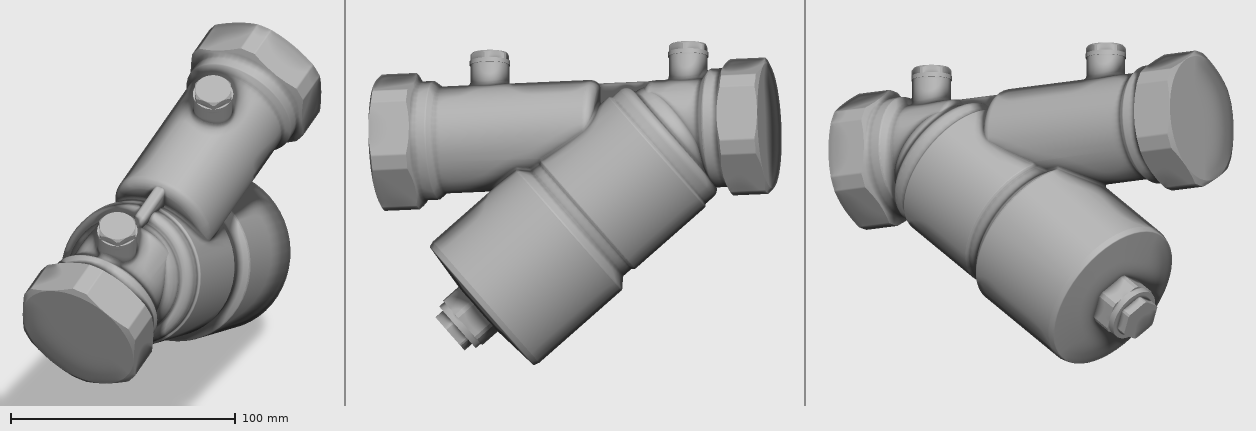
import cadquery as cq
import math


port_face_y = 88.5
nut_flats = 56.3
nut_corners = 61.0
nut_edge_round = 1.8
nut_face_radius = 28.0
nut_bevel = 2.1
nut_shoulder = 16.1
nut_length = 19.5
collar_radius = 26.5
collar_end = 25.5
collar_taper_end = 28.9
collar_foot_round = 2.1
collar_edge_round = 1.0
far_tube_radius = 23.9
far_tube_length = 100.7
near_tube_radius = 22.5
near_tube_length = 55.0
far_tube_round = 4.5
near_tube_round = 3.9

branch_tilt = 40.0
branch_origin_y = -49.0
neck_radius = 26.5
groove_radius = 31.7
barrel_radius = 32.7
cup_diameter = 72.0
cup_radius = cup_diameter / 2
cup_rim_radius = 35.2
neck_start = -4.0
neck_round = 8.8
neck_end = 5.1
shoulder_end = 14.2
barrel_start = 15.2
barrel_end = 57.0
groove_start = 58.4
groove_end = 63.2
cup_start = 67.6
cup_taper_start = 116.8
cup_end = 119.5
cap_height = 2.1
neck_foot_round = 1.0
shoulder_round = 4.5
step_round = 0.7
cup_round = 1.5
rim_round = 0.5

drain_nut_flats = 24.2
drain_nut_corners = 26.7
drain_nut_length = 9.2
drain_flange_radius = 12.4
drain_flange_height = 3.0
drain_head_flats = 17.9
drain_head_corners = 20.0
drain_head_height = 4.5

plug_ys = (38.8, -51.5)
plug_boss_radius = 8.7
plug_flange_radius = 9.0
plug_flange_bottom = 33.1
plug_flange_top = 35.0
plug_top = 38.5
plug_head_flats = 16.1
plug_head_corners = 17.9
plug_head_face_radius = 8.0
plug_head_bevel = 1.2

rib_thickness = 5.7
rib_top_round = 2.0
rib_overlap = 1.8

branch_blend = 0.9
boss_blend = 1.6
zone_margin = 0.5


def turned(profile):
    """Solid of revolution about local Z from (height, radius, corner rounding) points."""
    sketch = cq.Workplane("XZ").moveTo(profile[0][1], profile[0][0])
    for before, corner, after in zip(profile, profile[1:], profile[2:]):
        height, radius, rounding = corner
        if rounding == 0:
            sketch = sketch.lineTo(radius, height)
            continue
        here = cq.Vector(radius, height)
        back = (cq.Vector(before[1], before[0]) - here).normalized()
        ahead = (cq.Vector(after[1], after[0]) - here).normalized()
        half_angle = back.getAngle(ahead) / 2
        tangent_length = rounding / math.tan(half_angle)
        depth = rounding / math.sin(half_angle) - rounding
        start = here + back * tangent_length
        middle = here + (back + ahead).normalized() * depth
        end = here + ahead * tangent_length
        sketch = sketch.lineTo(start.x, start.y)
        sketch = sketch.threePointArc((middle.x, middle.y), (end.x, end.y))
    sketch = sketch.lineTo(profile[-1][1], profile[-1][0]).close()
    return sketch.revolve(360, (0, 0, 0), (0, 1, 0))


def hex_prism(flats, corners, height):
    """Hexagonal prism with flats facing local +-Y and its corners cut flat."""
    sharp = cq.Workplane("XY").polygon(6, flats, circumscribed=True).extrude(height)
    cutter = cq.Workplane("XY").polygon(6, corners, circumscribed=True).extrude(height)
    return sharp.rotate((0, 0, 0), (0, 0, 1), 30).intersect(cutter)


def disc(radius, bottom, top):
    """Upright cylinder between two heights."""
    return cq.Workplane("XY").workplane(offset=bottom).circle(radius).extrude(top - bottom)


def placed(body, plane):
    """Move a body from the global frame into the frame of a plane."""
    return body.newObject([body.val().moved(cq.Location(plane))])


def port(side, tube_radius, tube_length, end_round):
    """Nut, collar and tube, measured inward from the end face on the given Y side."""
    nut_corner_radius = nut_flats / math.sqrt(3)
    round_body = turned([
        (0, 0, 0),
        (0, nut_face_radius, 0),
        (nut_bevel, nut_corner_radius, 0),
        (nut_shoulder, nut_corner_radius, 0),
        (nut_length, collar_radius, collar_foot_round),
        (collar_end, collar_radius, collar_edge_round),
        (collar_taper_end, tube_radius, collar_foot_round),
        (tube_length, tube_radius, end_round),
        (tube_length, 0, 0),
    ])
    hexagon = hex_prism(nut_flats, nut_corners, tube_length).edges("|Z").fillet(nut_edge_round)
    plane = cq.Plane(origin=(0, side * port_face_y, 0), xDir=(0, 0, 1), normal=(0, -side, 0))
    return placed(round_body.intersect(hexagon), plane)


def branch():
    """Turned housing with the hexagonal drain plug on its lower end."""
    housing = turned([
        (neck_start, 0, 0),
        (neck_start, neck_radius, neck_round),
        (neck_end, neck_radius, neck_foot_round),
        (neck_end, groove_radius, shoulder_round),
        (shoulder_end, groove_radius, step_round),
        (barrel_start, barrel_radius, step_round),
        (barrel_end, barrel_radius, step_round),
        (groove_start, groove_radius, step_round),
        (groove_end, groove_radius, cup_round),
        (cup_start, cup_radius, cup_round),
        (cup_taper_start, cup_radius, 0),
        (cup_end, cup_rim_radius, rim_round),
        (cup_end + cap_height, drain_flange_radius, 0),
        (cup_end + cap_height, 0, 0),
    ])
    nut_height = cap_height + drain_nut_length
    flange_bottom = cup_end + nut_height
    flange_top = flange_bottom + drain_flange_height
    nut = hex_prism(drain_nut_flats, drain_nut_corners, nut_height).translate((0, 0, cup_end))
    flange = disc(drain_flange_radius, flange_bottom, flange_top)
    head = hex_prism(drain_head_flats, drain_head_corners, drain_head_height)
    head = head.translate((0, 0, flange_top))
    tilt = math.radians(branch_tilt)
    plane = cq.Plane(
        origin=(0, branch_origin_y, 0),
        xDir=(1, 0, 0),
        normal=(0, math.cos(tilt), -math.sin(tilt)),
    )
    return placed(housing.union(nut).union(flange).union(head), plane)


def with_plug_boss(body, y):
    """Add a round boss on top of the run and blend its foot."""
    body = body.union(disc(plug_boss_radius, 0, plug_flange_top).translate((0, y, 0)))
    reach = plug_boss_radius + zone_margin
    foot_zone = cq.selectors.BoxSelector(
        (-reach, y - reach, near_tube_radius - plug_boss_radius),
        (reach, y + reach, plug_flange_bottom),
    )
    return body.edges(foot_zone).edges("%BSPLINE").fillet(boss_blend)


def plug_cap(y):
    """Flange and bevelled hexagonal head that close a boss."""
    flange = disc(plug_flange_radius, plug_flange_bottom, plug_flange_top)
    height = plug_top - plug_flange_top
    crown = turned([
        (0, 0, 0),
        (0, plug_flange_radius, 0),
        (height - plug_head_bevel, plug_flange_radius, 0),
        (height, plug_head_face_radius, 0),
        (height, 0, 0),
    ])
    head = hex_prism(plug_head_flats, plug_head_corners, height).intersect(crown)
    return flange.union(head.translate((0, 0, plug_flange_top))).translate((0, y, 0))


def rib():
    """Thin web with a rounded top, level with the near tube."""
    start = near_tube_length - port_face_y - near_tube_round
    end = port_face_y - far_tube_length + rib_overlap
    bar = cq.Workplane("XY").box(
        rib_thickness,
        end - start,
        near_tube_radius,
        centered=(True, False, False),
    )
    return bar.edges("|Y and >Z").fillet(rib_top_round).translate((0, start, 0))


run = port(1, far_tube_radius, far_tube_length, far_tube_round)
run = run.union(port(-1, near_tube_radius, near_tube_length, near_tube_round))
body = run.union(branch())

far_zone = cq.selectors.BoxSelector(
    (-cup_radius, port_face_y - far_tube_length - zone_margin, -2 * cup_radius),
    (cup_radius, port_face_y - collar_taper_end, far_tube_radius),
)
body = body.edges(far_zone).edges("%BSPLINE").fillet(branch_blend)

body = body.union(rib())
for plug_y in plug_ys:
    body = with_plug_boss(body, plug_y)
    body = body.union(plug_cap(plug_y))

result = body